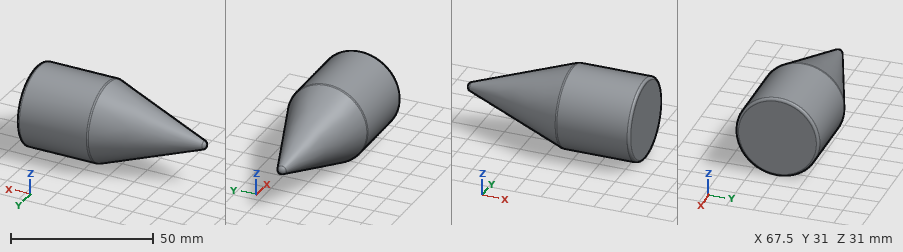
import cadquery as cq
import math

body_diameter = 31.0
body_length = 28.0
sharp_cone_length = 43.0
nose_radius = 1.8
shoulder_radius = 2.0
rear_edge_radius = 1.0

body_radius = body_diameter / 2
cone_half_angle = math.atan2(body_radius, sharp_cone_length)
apex_to_nose_center = nose_radius / math.sin(cone_half_angle)
apex_to_tip = apex_to_nose_center - nose_radius

nose_center_x = nose_radius
shoulder_x = sharp_cone_length - apex_to_tip
rear_x = shoulder_x + body_length


def nose_point(angle_from_tip):
    """Point on the ball tip, at an angle measured from the -X direction."""
    x = nose_center_x - nose_radius * math.cos(angle_from_tip)
    return (x, nose_radius * math.sin(angle_from_tip))


def revolved_blank():
    """Ball tip, cone and cylinder turned about the X axis, with sharp corners."""
    tangent_angle = math.pi / 2 - cone_half_angle
    half_profile = (
        cq.Workplane("XY")
        .moveTo(0, 0)
        .threePointArc(nose_point(tangent_angle / 2), nose_point(tangent_angle))
        .lineTo(shoulder_x, body_radius)
        .lineTo(rear_x, body_radius)
        .lineTo(rear_x, 0)
        .close()
    )
    return half_profile.revolve(360, (0, 0, 0), (1, 0, 0))


def round_rear_edge(part):
    """Round the outer edge of the flat rear face."""
    return part.faces(">X").edges("%CIRCLE").fillet(rear_edge_radius)


def blend_shoulder(part):
    """Blend the corner where the cone meets the cylinder."""
    shoulder_edge = cq.selectors.NearestToPointSelector((shoulder_x, 0, 0))
    return part.edges("%CIRCLE").edges(shoulder_edge).fillet(shoulder_radius)


blank = revolved_blank()
result = blend_shoulder(round_rear_edge(blank))